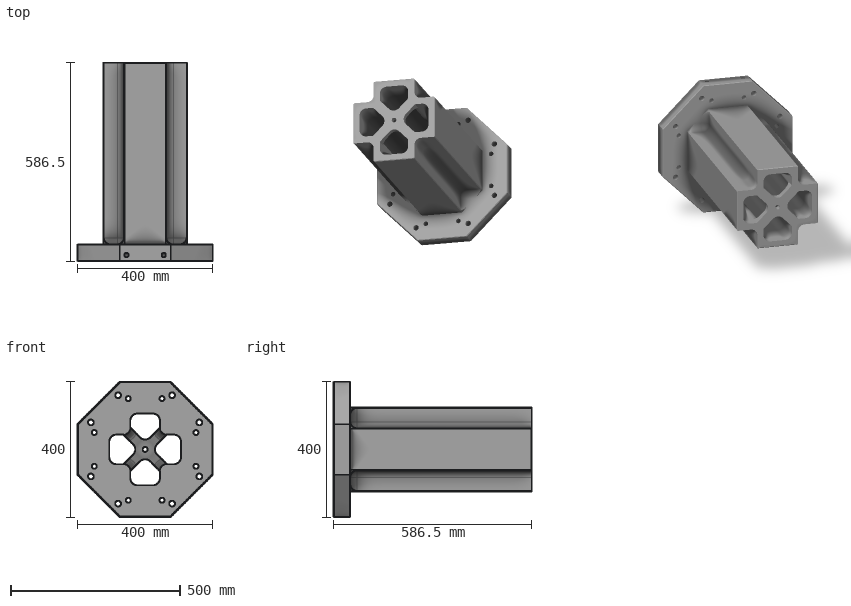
import cadquery as cq
import math

LENGTH = 586.5

FLANGE_SIZE = 400.0
FLANGE_FLAT = 150.0
FLANGE_THICKNESS = 50.0

OUTER_SPAN = 248.5
OUTER_ARM = 125.0
INNER_SPAN = 211.0
INNER_ARM = 87.0
FILLET_RADIUS = 20.0
BORE_CORNER_RADIUS = 20.5
EDGE_CHAMFER = 2.0

WEB_THICKNESS = 20.0
CORNER_AXIS = INNER_ARM / 2 + BORE_CORNER_RADIUS
WEB_BAR_LENGTH = 2 * CORNER_AXIS * math.sqrt(2)
WEB_BAR_WIDTH = BORE_CORNER_RADIUS * math.sqrt(2)
WEB_ROOT_RADIUS = 21.5
CENTRE_HOLE_DIAMETER = 14.0

BOLT_HOLE_DIAMETER = 16.5
BOLT_HOLE_NEAR = 80.0
BOLT_HOLE_FAR = 160.0
SMALL_HOLE_DIAMETER = 14.0
SMALL_HOLE_NEAR = 50.0
SMALL_HOLE_FAR = 150.0

LIFTING_HOLE_DIAMETER = 13.0
LIFTING_HOLE_SPACING = 110.0
LIFTING_HOLE_Y = 18.0
LIFTING_HOLE_DEPTH = 30.0
DRILL_POINT_ANGLE = 118.0

MARGIN = 0.5


def section(y):
    """Sketch plane across the tube at the given Y, with local axes along X and Z."""
    return cq.Workplane("XZ", origin=(0, y, 0))


def cross(span, arm, y_start, y_end):
    """Sharp-edged prism with a plus-shaped section."""
    length = y_end - y_start
    wide = section(y_start).rect(span, arm).extrude(-length)
    tall = section(y_start).rect(arm, span).extrude(-length)
    return wide.union(tall)


def flange():
    corner_cut = (FLANGE_SIZE - FLANGE_FLAT) / 2
    plate = section(0).rect(FLANGE_SIZE, FLANGE_SIZE).extrude(-FLANGE_THICKNESS)
    plate = plate.edges("|Y").chamfer(corner_cut)
    return plate.faces("<Y or >Y").chamfer(EDGE_CHAMFER)


def tube():
    """Solid tube with filleted inner corners and chamfered outer edges."""
    core_half = OUTER_SPAN / 2 - EDGE_CHAMFER
    core = cq.selectors.BoxSelector(
        (-core_half, 0, -core_half), (core_half, LENGTH, core_half)
    )
    body = cross(OUTER_SPAN, OUTER_ARM, FLANGE_THICKNESS / 2, LENGTH)
    body = body.edges("|Y").edges(core).fillet(FILLET_RADIUS)
    return body.faces("<X or >X or <Z or >Z").edges("not <Y").chamfer(EDGE_CHAMFER)


def body_with_flange():
    """Tube joined to the flange, with fillets at the foot of the four corner recesses."""
    body = flange().union(tube())
    near = OUTER_ARM / 2 - MARGIN
    far = OUTER_SPAN / 2 - EDGE_CHAMFER
    low = FLANGE_THICKNESS - MARGIN
    high = FLANGE_THICKNESS + MARGIN
    for side_x in (-1, 1):
        for side_z in (-1, 1):
            recess = cq.selectors.BoxSelector(
                (side_x * near, low, side_z * near), (side_x * far, high, side_z * far)
            )
            body = body.edges(recess).fillet(FILLET_RADIUS)
    return body


def bore():
    """Cross-shaped cavity through the whole part, with its lengthwise edges rounded."""
    return cross(INNER_SPAN, INNER_ARM, 0, LENGTH).edges("|Y").fillet(BORE_CORNER_RADIUS)


def web_bars():
    """Two crossed diagonal bars with rounded roots, along the whole tube."""
    bar = section(0).rect(WEB_BAR_LENGTH, WEB_BAR_WIDTH).extrude(-LENGTH)
    axis_start = (0, 0, 0)
    axis_end = (0, 1, 0)
    bars = bar.rotate(axis_start, axis_end, 45).union(bar.rotate(axis_start, axis_end, -45))
    roots = cq.selectors.BoxSelector(
        (-WEB_BAR_WIDTH, 0, -WEB_BAR_WIDTH), (WEB_BAR_WIDTH, LENGTH, WEB_BAR_WIDTH)
    )
    return bars.edges("|Y").edges(roots).fillet(WEB_ROOT_RADIUS)


def corner_fillets(y):
    """Fillets between the plane at the given Y and the four rounded corners of the bore."""
    inner = BORE_CORNER_RADIUS - MARGIN
    outer = BORE_CORNER_RADIUS + FILLET_RADIUS
    profile = (
        cq.Workplane("XY")
        .moveTo(inner, y)
        .lineTo(outer, y)
        .radiusArc((BORE_CORNER_RADIUS, y - FILLET_RADIUS), -FILLET_RADIUS)
        .lineTo(inner, y - FILLET_RADIUS)
        .close()
    )
    ring = profile.revolve(360, (0, 0, 0), (0, 1, 0))
    fillets = cq.Workplane("XY")
    for side_x in (-1, 1):
        for side_z in (-1, 1):
            fillets = fillets.union(ring.translate((side_x * CORNER_AXIS, 0, side_z * CORNER_AXIS)))
    return fillets


def web():
    """X-shaped web at the far end of the tube, blended into the walls of the bore."""
    front = LENGTH - WEB_THICKNESS
    plate = section(front).rect(INNER_SPAN, INNER_SPAN).extrude(-WEB_THICKNESS)
    filleted = plate.union(corner_fillets(front))
    centre_hole = section(front).circle(CENTRE_HOLE_DIAMETER / 2).extrude(-WEB_THICKNESS)
    return filleted.intersect(web_bars()).cut(centre_hole)


def flange_holes(diameter, near, far):
    """Eight holes through the flange, in mirrored pairs beside the X and Z axes."""
    points = []
    for side_x in (-1, 1):
        for side_z in (-1, 1):
            points.append((side_x * near, side_z * far))
            points.append((side_x * far, side_z * near))
    return section(0).pushPoints(points).circle(diameter / 2).extrude(-FLANGE_THICKNESS)


def lifting_holes():
    """Pair of drilled holes with conical ends, sunk into the +Z edge of the flange."""
    radius = LIFTING_HOLE_DIAMETER / 2
    point_depth = radius / math.tan(math.radians(DRILL_POINT_ANGLE / 2))
    top = FLANGE_SIZE / 2
    shoulder = top - LIFTING_HOLE_DEPTH
    drill = (
        cq.Workplane("XZ")
        .polyline([(0, top), (radius, top), (radius, shoulder), (0, shoulder - point_depth)])
        .close()
        .revolve(360, (0, 0, 0), (0, 1, 0))
    )
    left = drill.translate((-LIFTING_HOLE_SPACING / 2, LIFTING_HOLE_Y, 0))
    right = drill.translate((LIFTING_HOLE_SPACING / 2, LIFTING_HOLE_Y, 0))
    return left.union(right)


result = (
    body_with_flange()
    .cut(bore())
    .union(web())
    .cut(flange_holes(BOLT_HOLE_DIAMETER, BOLT_HOLE_NEAR, BOLT_HOLE_FAR))
    .cut(flange_holes(SMALL_HOLE_DIAMETER, SMALL_HOLE_NEAR, SMALL_HOLE_FAR))
    .cut(lifting_holes())
)